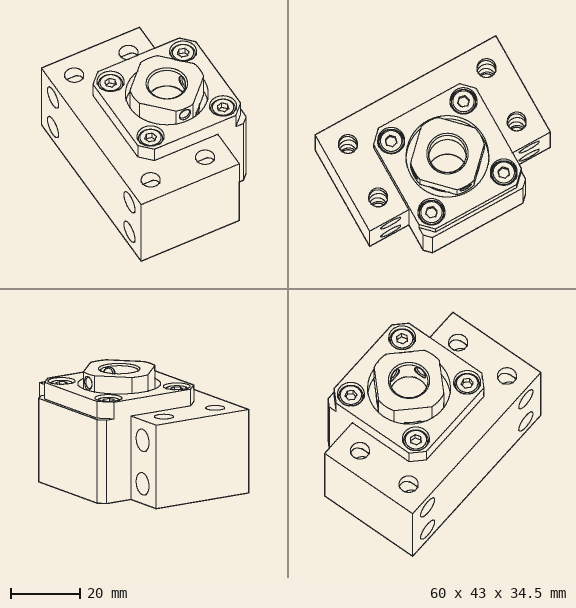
import cadquery as cq
import math


block_width = 60.0
block_height = 25.0
block_front_y = -25.0
block_back_y = 7.5
column_back_y = 18.0
column_chamfer = 2.0

plate_size = 34.0
plate_thickness = 5.0
plate_chamfer = 3.55
plate_top_z = block_height + plate_thickness

recess_diameter = 24.0
recess_depth = 5.3
recess_floor_z = plate_top_z - recess_depth
seat_diameter = 19.0
shaft_bore_diameter = 12.0

mount_hole_x = 23.0
vertical_hole_diameter = 5.5
vertical_hole_ys = (0.0, -18.0)
cross_hole_diameter = 6.6
cross_hole_zs = (6.0, 19.0)

screw_offset = 12.0
screw_circle_radius = screw_offset * math.sqrt(2)
screw_angles = (45, 135, 225, 315)
counterbore_diameter = 7.8
counterbore_depth = 3.0
head_diameter = 7.0
head_drop = 0.6
head_chamfer = 0.4
socket_across_flats = 3.0
socket_corner_diameter = socket_across_flats / math.cos(math.radians(30))
socket_depth = 2.0

nut_diameter = 22.0
nut_across_flats = 19.0
nut_thickness = 8.0
nut_protrusion = 4.5
nut_top_z = plate_top_z + nut_protrusion
nut_bottom_z = nut_top_z - nut_thickness
nut_bore_diameter = 10.9
nut_bore_chamfer = (shaft_bore_diameter - nut_bore_diameter) / 2
set_screw_angles = (0, 90)
set_screw_hole_diameter = 3.25
set_screw_mouth_diameter = 4.0
set_screw_mouth_chamfer = (set_screw_mouth_diameter - set_screw_hole_diameter) / 2
set_screw_depth = 2.75
set_screw_z = nut_top_z - set_screw_depth


def cylinder(diameter, bottom_z, top_z):
    """Cylinder on the bore axis between two heights."""
    return cq.Workplane("XY").workplane(offset=bottom_z).circle(diameter / 2).extrude(top_z - bottom_z)


def make_housing_shell():
    """Block, column and cover plate, without holes."""
    block_depth = block_back_y - block_front_y
    block = cq.Workplane("XY").box(block_width, block_depth, block_height, centered=(True, False, False))
    block = block.translate((0, block_front_y, 0))
    column = (
        cq.Workplane("XY")
        .box(plate_size, column_back_y, block_height, centered=(True, False, False))
        .edges("|Z and >Y")
        .chamfer(column_chamfer)
    )
    plate = (
        cq.Workplane("XY")
        .workplane(offset=block_height)
        .rect(plate_size, plate_size)
        .extrude(plate_thickness)
        .edges("|Z")
        .chamfer(plate_chamfer)
    )
    return block.union(column).union(plate)


def cut_nut_recess_and_bore(body):
    """Recess around the nut, with the seat left standing, and the shaft bore through everything."""
    recess = cylinder(recess_diameter, recess_floor_z, plate_top_z)
    seat = cylinder(seat_diameter, recess_floor_z, nut_bottom_z)
    bore = cylinder(shaft_bore_diameter, 0, plate_top_z)
    return body.cut(recess.cut(seat)).cut(bore)


def cut_mounting_holes(body):
    """Vertical and front-to-back clearance holes on both sides of the block."""
    vertical_points = [(side * mount_hole_x, y) for side in (-1, 1) for y in vertical_hole_ys]
    cross_points = [(side * mount_hole_x, z) for side in (-1, 1) for z in cross_hole_zs]
    vertical = (
        cq.Workplane("XY").pushPoints(vertical_points).circle(vertical_hole_diameter / 2).extrude(block_height)
    )
    cross = (
        cq.Workplane("XZ", origin=(0, block_back_y, 0))
        .pushPoints(cross_points)
        .circle(cross_hole_diameter / 2)
        .extrude(block_back_y - block_front_y)
    )
    return body.cut(vertical).cut(cross)


def make_screw_pocket():
    """Ring-shaped gap, chamfered head and hex socket of one cover screw, centred on the Z axis."""
    floor_z = plate_top_z - counterbore_depth
    head_top_z = plate_top_z - head_drop
    head = cylinder(head_diameter, floor_z, head_top_z).faces(">Z").chamfer(head_chamfer)
    socket = (
        cq.Workplane("XY")
        .workplane(offset=head_top_z - socket_depth)
        .polygon(6, socket_corner_diameter)
        .extrude(socket_depth)
    )
    return cylinder(counterbore_diameter, floor_z, plate_top_z).cut(head.cut(socket))


def cut_screw_pockets(body):
    """Four cover screws; each socket has a corner pointing at the bore axis."""
    pocket = make_screw_pocket().translate((screw_circle_radius, 0, 0))
    for angle in screw_angles:
        body = body.cut(pocket.rotate((0, 0, 0), (0, 0, 1), angle))
    return body


def make_housing():
    body = cut_nut_recess_and_bore(make_housing_shell())
    return cut_screw_pockets(cut_mounting_holes(body))


def make_set_screw_hole():
    """Radial hole along +X with a conical mouth at the bore and at the rim of the nut."""
    bore_radius = nut_bore_diameter / 2
    rim_radius = nut_diameter / 2
    hole_radius = set_screw_hole_diameter / 2
    mouth_radius = set_screw_mouth_diameter / 2
    profile = [
        (0, 0),
        (0, mouth_radius),
        (bore_radius, mouth_radius),
        (bore_radius + set_screw_mouth_chamfer, hole_radius),
        (rim_radius - set_screw_mouth_chamfer, hole_radius),
        (rim_radius, mouth_radius),
        (rim_radius, 0),
    ]
    hole = cq.Workplane("XZ").polyline(profile).close().revolve(360, (0, 0, 0), (1, 0, 0))
    return hole.translate((0, 0, set_screw_z))


def make_lock_nut():
    """Round nut with four diagonal flats, a chamfered bore and two radial set screw holes."""
    flats = (
        cq.Workplane("XY")
        .workplane(offset=nut_bottom_z)
        .rect(nut_across_flats, nut_across_flats)
        .extrude(nut_thickness)
        .rotate((0, 0, 0), (0, 0, 1), 45)
    )
    ring = cylinder(nut_diameter, nut_bottom_z, nut_top_z).cut(
        cylinder(nut_bore_diameter, nut_bottom_z, nut_top_z)
    )
    nut = ring.edges(cq.selectors.RadiusNthSelector(0)).chamfer(nut_bore_chamfer).intersect(flats)
    hole = make_set_screw_hole()
    for angle in set_screw_angles:
        nut = nut.cut(hole.rotate((0, 0, 0), (0, 0, 1), angle))
    return nut


housing = make_housing()
lock_nut = make_lock_nut()

result = cq.Compound.makeCompound([housing.val(), lock_nut.val()])